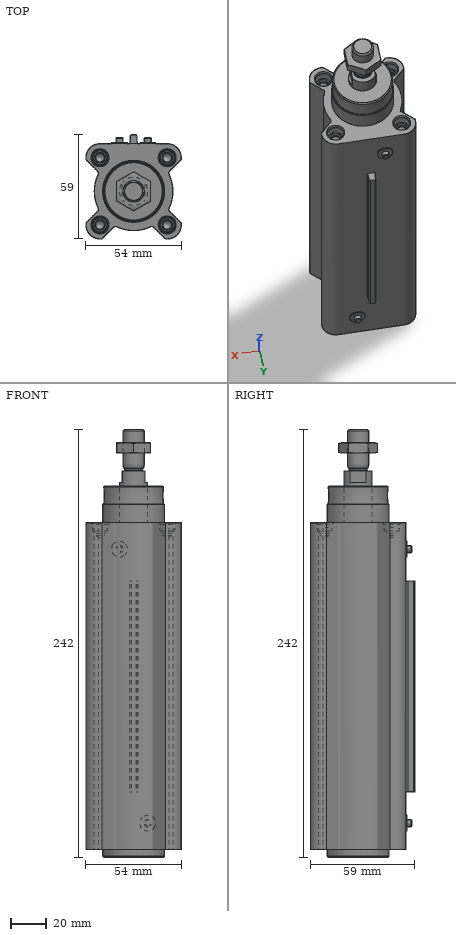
import cadquery as cq
import math

TOTAL_HEIGHT = 242.0
BARREL_BOTTOM = 4.4
BARREL_TOP = 189.2
COLLAR_TOP = 199.8
CAP_TOP = 210.0

BODY_WIDTH = 54.0
HALF_WIDTH = BODY_WIDTH / 2
BODY_RADIUS = 22.3
LUG_CORNER_RADIUS = 8.0
LUG_CENTRE = HALF_WIDTH - LUG_CORNER_RADIUS
LUG_WEB_WIDTH = 12.8
LUG_ROOT_FILLET = 1.5

COLLAR_DIAMETER = 35.0
COLLAR_CHAMFER = 0.5
BOSS_CHAMFER = 0.7
CAP_DIAMETER = 33.9
CAP_WAIST_DIAMETER = 33.5
CAP_CHAMFER = 0.7

RECESS_DIAMETER = 10.2
RECESS_BORE_DIAMETER = 9.0
RECESS_SEAT_DIAMETER = 7.7
SOCKET_RIM_DIAMETER = 6.0
SOCKET_DIAMETER = 4.8
RECESS_CHAMFER_DEPTH = 1.0
RECESS_SEAT_DEPTH = 3.0
RECESS_FLOOR_DEPTH = 4.8
SOCKET_RIM_DEPTH = 6.0
SOCKET_DEPTH = 7.3
SOCKET_TIP_ANGLE = 120.0

RAIL_WIDTH = 3.9
RAIL_HEIGHT = 5.0
RAIL_BOTTOM = 37.0
RAIL_TOP = 156.3
RAIL_CHAMFER = 0.7
RAIL_FOOT_HEIGHT = 1.2
RAIL_FOOT_FLARE = 0.5

SCREW_X = 8.0
SCREW_LOWER_Z = 19.4
SCREW_UPPER_Z = BARREL_BOTTOM + BARREL_TOP - SCREW_LOWER_Z
SCREW_SEAT_DIAMETER = 9.0
SCREW_SEAT_HEIGHT = 0.7
SCREW_DIAMETER = 4.0
SCREW_HEIGHT = 3.5
SCREW_CHAMFER = 0.5

ROD_DIAMETER = 16.0
ROD_FLAT_WIDTH = 13.0
ROD_FLAT_BOTTOM = 212.0
ROD_SHOULDER = 218.5
NECK_DIAMETER = 10.2
NECK_FOOT_DIAMETER = 10.6
NECK_BOTTOM = 219.0
NECK_TOP = 219.6
RUNOUT_DIAMETER = 11.4
RUNOUT_BOTTOM = 220.1
THREAD_DIAMETER = 12.0
THREAD_BOTTOM = 221.8
THREAD_CHAMFER = 1.0

NUT_BOTTOM = 228.4
NUT_HEIGHT = 6.0
NUT_ACROSS_FLATS = 19.0
NUT_FACE_DIAMETER = 18.1
NUT_CHAMFER_ANGLE = 15.0


def revolve_profile(points):
    """Turn (radius, height) points, closed along the Z axis, into a solid of revolution."""
    return cq.Workplane("XZ").polyline(points).close().revolve(360, (0, 0, 0), (0, 1, 0))


def make_lug(angle):
    """A 45-degree web running out to a square corner whose tip is rounded."""
    length = BARREL_TOP - BARREL_BOTTOM
    reach = math.hypot(HALF_WIDTH, HALF_WIDTH)
    corner = (
        cq.Workplane("XY", origin=(0, 0, BARREL_BOTTOM))
        .rect(BODY_WIDTH, BODY_WIDTH)
        .extrude(length)
        .edges("|Z")
        .fillet(LUG_CORNER_RADIUS)
    )
    web = (
        cq.Workplane("XY", origin=(0, 0, BARREL_BOTTOM))
        .center(reach / 2, 0)
        .rect(reach, LUG_WEB_WIDTH)
        .extrude(length)
        .rotate((0, 0, 0), (0, 0, 1), angle)
    )
    return web.intersect(corner)


def make_barrel():
    length = BARREL_TOP - BARREL_BOTTOM
    barrel = cq.Workplane("XY", origin=(0, 0, BARREL_BOTTOM)).circle(BODY_RADIUS).extrude(length)
    for angle in (45, 135, 225, 315):
        barrel = barrel.union(make_lug(angle))
    root_box = cq.selectors.BoxSelector(
        (-BODY_RADIUS, -BODY_RADIUS, BARREL_BOTTOM), (BODY_RADIUS, BODY_RADIUS, BARREL_TOP)
    )
    barrel = barrel.edges("|Z").edges(root_box).fillet(LUG_ROOT_FILLET)
    back = (
        cq.Workplane("XY", origin=(0, 0, BARREL_BOTTOM))
        .center(0, (HALF_WIDTH + LUG_CENTRE) / 2)
        .rect(2 * LUG_CENTRE, HALF_WIDTH - LUG_CENTRE)
        .extrude(length)
    )
    return barrel.union(back)


def make_collar_cap_and_boss():
    """One turned core: the boss below the barrel, the collar above it and the waisted cap."""
    collar = COLLAR_DIAMETER / 2
    cap = CAP_DIAMETER / 2
    cap_edge = CAP_TOP - CAP_CHAMFER
    profile = (
        cq.Workplane("XZ")
        .moveTo(0, 0)
        .lineTo(collar - BOSS_CHAMFER, 0)
        .lineTo(collar, BOSS_CHAMFER)
        .lineTo(collar, COLLAR_TOP - COLLAR_CHAMFER)
        .lineTo(collar - COLLAR_CHAMFER, COLLAR_TOP)
        .lineTo(cap, COLLAR_TOP)
        .threePointArc((CAP_WAIST_DIAMETER / 2, (COLLAR_TOP + cap_edge) / 2), (cap, cap_edge))
        .lineTo(cap - CAP_CHAMFER, CAP_TOP)
        .lineTo(0, CAP_TOP)
        .close()
    )
    return profile.revolve(360, (0, 0, 0), (0, 1, 0))


def make_recess():
    socket = SOCKET_DIAMETER / 2
    tip_depth = SOCKET_DEPTH + socket / math.tan(math.radians(SOCKET_TIP_ANGLE / 2))
    return revolve_profile(
        [
            (0, 0),
            (RECESS_DIAMETER / 2, 0),
            (RECESS_BORE_DIAMETER / 2, -RECESS_CHAMFER_DEPTH),
            (RECESS_BORE_DIAMETER / 2, -RECESS_SEAT_DEPTH),
            (RECESS_SEAT_DIAMETER / 2, -RECESS_FLOOR_DEPTH),
            (SOCKET_RIM_DIAMETER / 2, -RECESS_FLOOR_DEPTH),
            (socket, -SOCKET_RIM_DEPTH),
            (socket, -SOCKET_DEPTH),
            (0, -tip_depth),
        ]
    )


def make_rail():
    half = RAIL_WIDTH / 2
    foot = half + RAIL_FOOT_FLARE
    crest = HALF_WIDTH + RAIL_HEIGHT
    return (
        cq.Workplane("XY", origin=(0, 0, RAIL_BOTTOM))
        .polyline(
            [
                (-foot, LUG_CENTRE),
                (foot, LUG_CENTRE),
                (foot, HALF_WIDTH),
                (half, HALF_WIDTH + RAIL_FOOT_HEIGHT),
                (half, crest - RAIL_CHAMFER),
                (half - RAIL_CHAMFER, crest),
                (-half + RAIL_CHAMFER, crest),
                (-half, crest - RAIL_CHAMFER),
                (-half, HALF_WIDTH + RAIL_FOOT_HEIGHT),
                (-foot, HALF_WIDTH),
            ]
        )
        .close()
        .extrude(RAIL_TOP - RAIL_BOTTOM)
    )


def make_adjusting_screw(x, z):
    back = cq.Workplane("XZ", origin=(x, HALF_WIDTH, z))
    seat = back.circle(SCREW_SEAT_DIAMETER / 2).extrude(-SCREW_SEAT_HEIGHT)
    shank = back.circle(SCREW_DIAMETER / 2).extrude(-SCREW_HEIGHT).faces(">Y").chamfer(SCREW_CHAMFER)
    return seat.union(shank)


def make_housing():
    housing = make_barrel().union(make_collar_cap_and_boss()).union(make_rail())
    for x, z in ((-SCREW_X, SCREW_UPPER_Z), (SCREW_X, SCREW_LOWER_Z)):
        housing = housing.union(make_adjusting_screw(x, z))
    for x in (-LUG_CENTRE, LUG_CENTRE):
        for y in (-LUG_CENTRE, LUG_CENTRE):
            housing = housing.cut(make_recess().translate((x, y, BARREL_TOP)))
    rod_bore = (
        cq.Workplane("XY", origin=(0, 0, BARREL_TOP)).circle(ROD_DIAMETER / 2).extrude(CAP_TOP - BARREL_TOP)
    )
    return housing.cut(rod_bore)


def make_rod():
    rod = revolve_profile(
        [
            (0, BARREL_TOP),
            (ROD_DIAMETER / 2, BARREL_TOP),
            (ROD_DIAMETER / 2, ROD_SHOULDER),
            (NECK_FOOT_DIAMETER / 2, ROD_SHOULDER),
            (NECK_DIAMETER / 2, NECK_BOTTOM),
            (NECK_DIAMETER / 2, NECK_TOP),
            (RUNOUT_DIAMETER / 2, RUNOUT_BOTTOM),
            (THREAD_DIAMETER / 2, THREAD_BOTTOM),
            (THREAD_DIAMETER / 2, TOTAL_HEIGHT - THREAD_CHAMFER),
            (THREAD_DIAMETER / 2 - THREAD_CHAMFER, TOTAL_HEIGHT),
            (0, TOTAL_HEIGHT),
        ]
    )
    for side in (-1, 1):
        flat = (
            cq.Workplane("XY", origin=(side * ROD_FLAT_WIDTH, 0, ROD_FLAT_BOTTOM))
            .rect(ROD_FLAT_WIDTH, ROD_DIAMETER)
            .extrude(ROD_SHOULDER - ROD_FLAT_BOTTOM)
        )
        rod = rod.cut(flat)
    return rod


def make_nut():
    across_corners = NUT_ACROSS_FLATS / math.cos(math.pi / 6)
    corner = across_corners / 2
    face = NUT_FACE_DIAMETER / 2
    drop = (corner - face) * math.tan(math.radians(NUT_CHAMFER_ANGLE))
    hexagon = (
        cq.Workplane("XY")
        .polygon(6, across_corners)
        .extrude(NUT_HEIGHT)
        .rotate((0, 0, 0), (0, 0, 1), 30)
    )
    envelope = revolve_profile(
        [
            (0, 0),
            (face, 0),
            (corner, drop),
            (corner, NUT_HEIGHT - drop),
            (face, NUT_HEIGHT),
            (0, NUT_HEIGHT),
        ]
    )
    bore = cq.Workplane("XY").circle(THREAD_DIAMETER / 2).extrude(NUT_HEIGHT)
    return hexagon.intersect(envelope).cut(bore).translate((0, 0, NUT_BOTTOM))


result = cq.Compound.makeCompound([make_housing().val(), make_rod().val(), make_nut().val()])